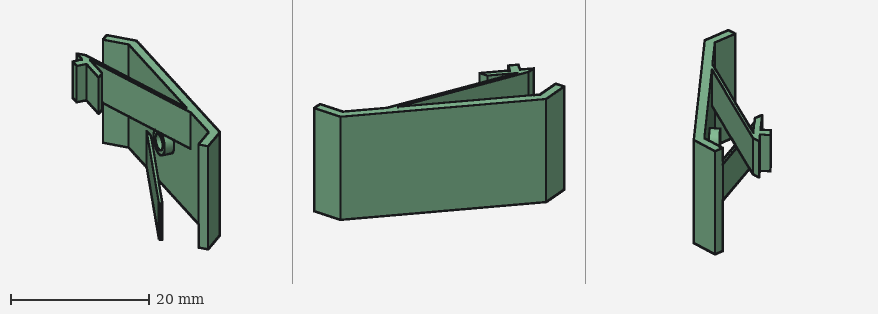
import cadquery as cq
import math

length = 36.78
height = 17.0
depth = 11.0
wall = 1.5

wing_angle = 45.0
bend_x = 15.1
wing_run = length / 2 - bend_x

arm_height = 6.0
arm_angle = 18.9
arm_thickness = 0.5
arm_root_x = 7.98

shoe_left = -15.05
shoe_right = -7.02
shoe_thickness = 1.0
key_width = 1.5
key_length = 1.5
key_left = -13.02
shoe_front_y = key_length - depth
shoe_back_y = shoe_front_y + shoe_thickness

tip_x = -key_left

boss_diameter = 4.0
boss_hole_diameter = 2.5
boss_height = 1.5

arm_slope = math.tan(math.radians(arm_angle))
arm_thickness_in_y = arm_thickness / math.cos(math.radians(arm_angle))


def prism(points, bottom, tall):
    """Extrude a closed XY outline upwards from the given Z."""
    return cq.Workplane("XY").workplane(offset=bottom).polyline(points).close().extrude(tall)


def back_plate():
    angle = math.radians(wing_angle)
    outer_end_y = -wing_run * math.tan(angle)
    inner_end_x = length / 2 - wall * math.sin(angle)
    inner_end_y = outer_end_y - wall * math.cos(angle)
    inner_bend_x = bend_x - wall * math.tan(angle / 2)
    right_half = [
        (bend_x, 0),
        (length / 2, outer_end_y),
        (inner_end_x, inner_end_y),
        (inner_bend_x, -wall),
    ]
    left_half = [(-x, y) for x, y in reversed(right_half)]
    return prism(right_half + left_half, 0, height)


def arm_front_y(x):
    """Front side of the upper arm, which slopes away from the plate towards -X."""
    return -wall - (arm_root_x - x) * arm_slope


def arm_back_y(x):
    return arm_front_y(x) + arm_thickness_in_y


def upper_arm():
    shoe_side_offset = shoe_front_y - shoe_left
    arm_back_offset = arm_back_y(0)
    corner_x = (arm_back_offset - shoe_side_offset) / (1 - arm_slope)
    notch_x = arm_root_x - (-wall - shoe_back_y) / arm_slope
    root_back_x = arm_root_x - arm_thickness_in_y / arm_slope
    root_y = -wall / 2
    key_right = key_left + key_width
    outline = [
        (shoe_left, shoe_front_y),
        (key_left, shoe_front_y),
        (key_left, -depth),
        (key_right, -depth),
        (key_right, shoe_front_y),
        (shoe_right, shoe_front_y),
        (shoe_right - shoe_thickness, shoe_back_y),
        (notch_x, shoe_back_y),
        (arm_root_x, -wall),
        (arm_root_x, root_y),
        (root_back_x, root_y),
        (root_back_x, -wall),
        (corner_x, arm_back_y(corner_x)),
    ]
    return prism(outline, height - arm_height, arm_height)


def lower_arm():
    tip_flat_x = (-wall - shoe_back_y) / arm_slope - arm_root_x
    root_back_x = arm_thickness_in_y / arm_slope - arm_root_x
    root_y = -wall / 2
    outline = [
        (-arm_root_x, root_y),
        (-arm_root_x, -wall),
        (tip_flat_x, shoe_back_y),
        (tip_x, shoe_back_y),
        (tip_x, arm_back_y(-tip_x)),
        (root_back_x, -wall),
        (root_back_x, root_y),
    ]
    return prism(outline, 0, arm_height)


def boss():
    """Hollow boss at mid height, with its blind hole ending on the plate."""
    return (
        cq.Workplane("XZ", origin=(0, -wall, height / 2))
        .circle(boss_diameter / 2)
        .circle(boss_hole_diameter / 2)
        .extrude(boss_height)
    )


result = back_plate().union(upper_arm()).union(lower_arm()).union(boss())